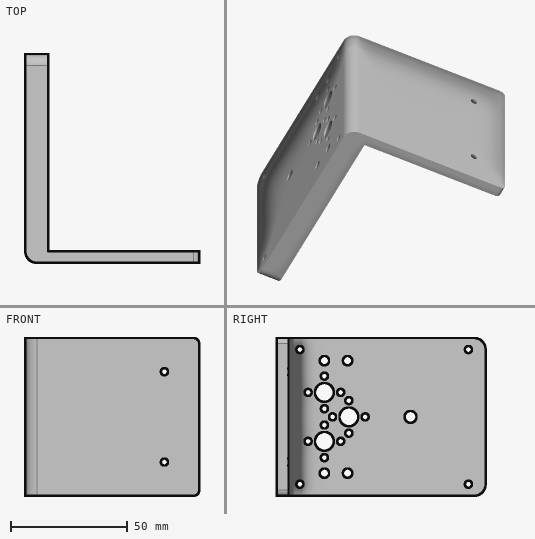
import cadquery as cq

width = 75.0
depth = 90.0
height = 68.0
side_thickness = 10.0
front_thickness = 5.0
bend_radius = 5.0
side_corner_radius = 5.0
front_corner_radius = 2.5

screw_diameter = 3.0
corner_hole_ys = (10.0, 82.5)
corner_hole_offset = 29.0
mount_diameter = 4.0
mount_spacing = 10.0
mount_offset = 24.2
center_hole_diameter = 5.0
center_hole_y = 57.6

port_diameter = 8.0
port_y = 20.5
port_pitch = 10.5
port_screw_radius = 7.0

front_hole_x = 59.9
front_hole_offset = 19.4

mid_height = height / 2


def bracket_body():
    """L-shaped body with a rounded outer bend and rounded free corners."""
    body = (
        cq.Workplane("XY")
        .polyline([
            (0, 0),
            (width, 0),
            (width, front_thickness),
            (side_thickness, front_thickness),
            (side_thickness, depth),
            (0, depth),
        ])
        .close()
        .extrude(height)
    )
    body = body.faces("<X").edges("|Z and <Y").fillet(bend_radius)
    body = body.faces(">Y").edges("|X").fillet(side_corner_radius)
    return body.faces(">X").edges("|Y").fillet(front_corner_radius)


def side_cutters(points, diameter):
    """Cylinders through the side plate at (Y, offset from mid-height)."""
    return (
        cq.Workplane("YZ", origin=(0, 0, mid_height))
        .pushPoints(points)
        .circle(diameter / 2)
        .extrude(side_thickness)
    )


def front_cutters(points, diameter):
    """Cylinders through the front plate at (X, offset from mid-height)."""
    return (
        cq.Workplane("XZ", origin=(0, 0, mid_height))
        .pushPoints(points)
        .circle(diameter / 2)
        .extrude(-front_thickness)
    )


def mirrored(positions, offset):
    """Pairs of points placed symmetrically about mid-height."""
    return [(position, sign * offset) for position in positions for sign in (-1, 1)]


corner_points = mirrored(corner_hole_ys, corner_hole_offset)
mount_points = mirrored((port_y, port_y + mount_spacing), mount_offset)
port_points = mirrored((port_y,), port_pitch) + [(port_y + port_pitch, 0)]
screw_directions = ((1, 0), (-1, 0), (0, 1), (0, -1))
port_screw_points = [
    (y + dy * port_screw_radius, z + dz * port_screw_radius)
    for y, z in port_points
    for dy, dz in screw_directions
]

result = (
    bracket_body()
    .cut(side_cutters(corner_points + port_screw_points, screw_diameter))
    .cut(side_cutters(mount_points, mount_diameter))
    .cut(side_cutters([(center_hole_y, 0)], center_hole_diameter))
    .cut(side_cutters(port_points, port_diameter))
    .cut(front_cutters(mirrored((front_hole_x,), front_hole_offset), screw_diameter))
)